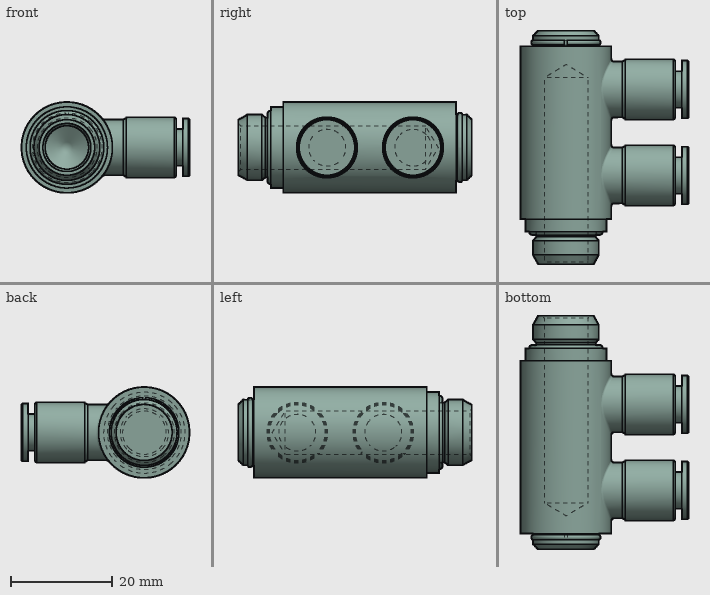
import cadquery as cq
import math


length = 46.1
sleeve_radius = 9.0
sleeve_start = 8.9
sleeve_end = 43.0

thread_radius = 6.5
thread_tip_radius = 5.5
thread_chamfer_end = 1.85
thread_end = 4.65
undercut_start = 5.4
undercut_radius = 5.9
collar_start = 6.45
collar_radius = 8.0

seal_wire_radius = 0.7
seal_center_radius = undercut_radius + seal_wire_radius

bore_radius = 4.3
bore_mouth_radius = 4.75
bore_depth = 36.9
drill_half_angle = 59.0

head_radius = 6.5
head_tip_radius = 5.55
head_chamfer = 1.0

clip_wire_radius = 0.5
clip_center_radius = 6.35
clip_position = 43.75
clip_gap = 0.55

port_positions = (17.5, 34.5)
stem_radius = 5.55
stem_fillet = 0.45
stem_end = 11.1
flare_radius = 5.8
socket_start = 11.7
socket_end = 21.57
socket_radius = 6.0
socket_chamfer = 0.35
neck_radius = 3.65
button_start = 22.85
button_end = 24.2
button_radius = 5.7
button_chamfer = 0.25


def revolve_about_y(profile):
    """Revolve a closed (radius, y) outline about the Y axis."""
    return cq.Workplane("XY").polyline(profile).close().revolve(360, (0, 0), (0, 1))


def wire_ring(center_radius, wire_radius, position):
    """Round-section ring centred on the Y axis."""
    plane = cq.Plane(origin=(center_radius, position, 0), xDir=(-1, 0, 0), normal=(0, 0, 1))
    section = cq.Workplane(plane).circle(wire_radius)
    return section.revolve(360, (center_radius, 0), (center_radius, 1))


def make_sleeve():
    sleeve = cq.Workplane("XZ", origin=(0, sleeve_start, 0)).circle(sleeve_radius)
    return sleeve.extrude(sleeve_start - sleeve_end)


def make_stem(position):
    return cq.Workplane("YZ").center(position, 0).circle(stem_radius).extrude(stem_end)


def make_port_end(position):
    """Flare, socket, neck and release button beyond the stem."""
    profile = [
        (stem_end, 0),
        (stem_end, stem_radius),
        (socket_start, flare_radius),
        (socket_start, socket_radius),
        (socket_end - socket_chamfer, socket_radius),
        (socket_end, socket_radius - socket_chamfer),
        (socket_end, neck_radius),
        (button_start, neck_radius),
        (button_start, button_radius),
        (button_end - button_chamfer, button_radius),
        (button_end, button_radius - button_chamfer),
        (button_end, 0),
    ]
    port_end = cq.Workplane("XY").polyline(profile).close().revolve(360, (0, 0), (1, 0))
    return port_end.translate((0, position, 0))


def make_spindle():
    """Thread end, undercut and collar on one side, chamfered head on the other."""
    return revolve_about_y([
        (0, 0),
        (thread_tip_radius, 0),
        (thread_radius, thread_chamfer_end),
        (thread_radius, thread_end),
        (undercut_radius, undercut_start),
        (undercut_radius, collar_start),
        (collar_radius, collar_start),
        (collar_radius, sleeve_start),
        (head_radius, sleeve_start),
        (head_radius, length - head_chamfer),
        (head_tip_radius, length),
        (0, length),
    ])


def make_bore():
    """Blind hole with a 45 degree mouth chamfer and a drill-point bottom."""
    drill_tip = bore_radius / math.tan(math.radians(drill_half_angle))
    return revolve_about_y([
        (0, 0),
        (bore_mouth_radius, 0),
        (bore_radius, bore_mouth_radius - bore_radius),
        (bore_radius, bore_depth),
        (0, bore_depth + drill_tip),
    ])


def make_clip():
    """Retaining ring with its gap facing +Z."""
    ring = wire_ring(clip_center_radius, clip_wire_radius, clip_position)
    gap_section = cq.Workplane("XY").center(0, clip_position).rect(clip_gap, 3 * clip_wire_radius)
    return ring.cut(gap_section.extrude(sleeve_radius))


body = make_sleeve()
for port_position in port_positions:
    body = body.union(make_stem(port_position))
body = body.edges("not(%LINE or %CIRCLE)").fillet(stem_fillet)

for port_position in port_positions:
    body = body.union(make_port_end(port_position))

body = body.union(make_spindle())
body = body.union(wire_ring(seal_center_radius, seal_wire_radius, collar_start))
body = body.union(make_clip())
result = body.cut(make_bore())